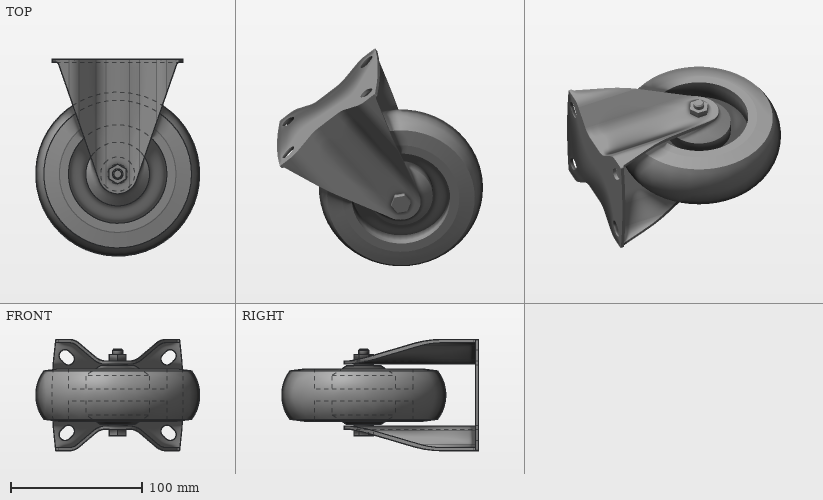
import cadquery as cq
import math


plate_back = 87.5
sheet = 2.5
plate_half_width = 50.0
plate_corner_half_width = 47.2
plate_half_height = 42.5
plate_corner_radius = 1.0

slot_width = 9.0
slot_outer_spacing = (80.0, 60.0)
slot_inner_spacing = (75.0, 55.0)

arm_inner_height = 23.5
arm_outer_height = arm_inner_height + sheet
bend_radius = 12.0
valley_half_width = 8.9
crest_start = 37.2
arm_end_radius = 15.0
arm_taper = math.radians(19.2)
arm_root_radius = 2.0

wheel_radius = 62.5
tread_edge_radius = 56.2
tread_edge_height = 18.5
rim_outer_radius = 44.4
wheel_half_width = 20.0
rim_inner_radius = 37.5
web_half_thickness = 4.5
hub_radius = 24.25
hub_shoulder_height = 15.0
hub_top_radius = 13.0
hub_half_length = 22.5

spacer_radius = 7.5
bolt_radius = 4.0
bolt_end_height = 35.0
bolt_chamfer = 1.0
hex_across_flats = 13.0
hex_height = 5.0


def bend_angle():
    """Slope of the straight flank tangent to the valley bend and the crest bend."""
    across = crest_start - valley_half_width
    rise = (plate_half_height - bend_radius) - (arm_outer_height + bend_radius)
    radii = 2 * bend_radius
    flank = math.sqrt(across**2 + rise**2 - radii**2)
    return math.atan2(radii, flank) + math.atan2(rise, across)


def fork_profile(side_x, depth):
    """XZ region between the two arms, bounded by a sheet face at the given depth.

    Depth 0 is the outer face of the sheet. The region reaches side_x on both sides at its corners.
    """
    slope = bend_angle()
    valley_radius = bend_radius + depth
    crest_radius = bend_radius - depth
    valley_centre = arm_outer_height + bend_radius
    crest_centre = plate_half_height - bend_radius

    def on_valley(angle):
        return (valley_half_width + valley_radius * math.sin(angle),
                valley_centre - valley_radius * math.cos(angle))

    def on_crest(angle):
        return (crest_start - crest_radius * math.sin(angle),
                crest_centre + crest_radius * math.cos(angle))

    def flip(point, x_sign, z_sign):
        return (x_sign * point[0], z_sign * point[1])

    corner = (side_x, plate_half_height - depth)
    side_middle = (side_x + plate_half_width - plate_corner_half_width, 0)
    outline = cq.Workplane("XZ").moveTo(*flip(corner, -1, 1))
    for s in (1, -1):
        outline = (
            outline.lineTo(*flip(on_crest(0), -s, s))
            .threePointArc(flip(on_crest(slope / 2), -s, s), flip(on_crest(slope), -s, s))
            .lineTo(*flip(on_valley(slope), -s, s))
            .threePointArc(flip(on_valley(slope / 2), -s, s), flip(on_valley(0), -s, s))
            .lineTo(*flip(on_valley(0), s, s))
            .threePointArc(flip(on_valley(slope / 2), s, s), flip(on_valley(slope), s, s))
            .lineTo(*flip(on_crest(slope), s, s))
            .threePointArc(flip(on_crest(slope / 2), s, s), flip(on_crest(0), s, s))
            .lineTo(*flip(corner, s, s))
            .threePointArc(flip(side_middle, s, s), flip(corner, s, -s))
        )
    return outline.close()


def arm_outline():
    """Solid with the fork's XY outline: plate strip, tapered arms and round arm ends."""
    plate_front = plate_back - sheet
    tangent_x = arm_end_radius * math.cos(arm_taper)
    tangent_y = -arm_end_radius * math.sin(arm_taper)
    root_x = tangent_x + (plate_front - tangent_y) * math.tan(arm_taper)
    outline = (
        cq.Workplane("XY")
        .moveTo(-plate_half_width, plate_back)
        .lineTo(-plate_half_width, plate_front)
        .lineTo(-root_x, plate_front)
        .lineTo(-tangent_x, tangent_y)
        .threePointArc((0, -arm_end_radius), (tangent_x, tangent_y))
        .lineTo(root_x, plate_front)
        .lineTo(plate_half_width, plate_front)
        .lineTo(plate_half_width, plate_back)
        .close()
        .extrude(plate_half_height, both=True)
    )
    root_edges = cq.selectors.BoxSelector(
        (-root_x - sheet / 2, plate_front - sheet / 2, -plate_half_height),
        (root_x + sheet / 2, plate_front + sheet / 2, plate_half_height),
    )
    return outline.edges("|Z").edges(root_edges).fillet(arm_root_radius)


def make_fork():
    fork_length = plate_back + arm_end_radius
    envelope = fork_profile(plate_corner_half_width, 0).extrude(fork_length)
    for side in ("<X", ">X"):
        corners = envelope.faces(side).edges("|Y")
        envelope = corners.fillet(plate_corner_radius)
    envelope = envelope.translate((0, plate_back, 0))
    inside = fork_profile(plate_half_width, sheet).extrude(fork_length)
    inside = inside.translate((0, plate_back - sheet, 0))
    return envelope.intersect(arm_outline()).cut(inside)


def make_slots():
    centre_x = (slot_outer_spacing[0] + slot_inner_spacing[0]) / 4
    centre_z = (slot_outer_spacing[1] + slot_inner_spacing[1]) / 4
    run_x = (slot_outer_spacing[0] - slot_inner_spacing[0]) / 2
    run_z = (slot_outer_spacing[1] - slot_inner_spacing[1]) / 2
    slot_length = math.hypot(run_x, run_z) + slot_width
    slot_angle = math.degrees(math.atan2(run_z, run_x))
    slots = cq.Workplane("XZ", origin=(0, plate_back, 0))
    for sign in (1, -1):
        slots = (
            slots.pushPoints([(centre_x, sign * centre_z), (-centre_x, -sign * centre_z)])
            .slot2D(slot_length, slot_width, sign * slot_angle)
            .extrude(sheet)
        )
    return slots


def make_wheel():
    """Wheel, hub and spacers: one profile, symmetric about the mid plane, revolved about Z."""
    upper_side = [
        (tread_edge_radius, tread_edge_height),
        (rim_outer_radius, wheel_half_width),
        (rim_inner_radius, wheel_half_width),
        (rim_inner_radius, web_half_thickness),
        (hub_radius, web_half_thickness),
        (hub_radius, hub_shoulder_height),
        (hub_top_radius, hub_half_length),
        (spacer_radius, hub_half_length),
        (spacer_radius, arm_inner_height),
        (0, arm_inner_height),
    ]
    lower_side = [(radius, -height) for radius, height in reversed(upper_side)]
    return (
        cq.Workplane("XZ")
        .polyline(upper_side + lower_side)
        .threePointArc((wheel_radius, 0), upper_side[0])
        .close()
        .revolve(360, (0, 0, 0), (0, 1, 0))
    )


def make_bolt():
    hex_across_corners = hex_across_flats / math.cos(math.pi / 6)
    head_bottom = -arm_outer_height - hex_height
    shank = (
        cq.Workplane("XY", origin=(0, 0, head_bottom))
        .circle(bolt_radius)
        .extrude(bolt_end_height - head_bottom)
        .faces(">Z")
        .chamfer(bolt_chamfer)
    )
    hexagon = (
        cq.Workplane("XY")
        .polygon(6, hex_across_corners)
        .extrude(hex_height)
        .rotate((0, 0, 0), (0, 0, 1), 90)
    )
    nut = hexagon.translate((0, 0, arm_outer_height))
    head = hexagon.translate((0, 0, head_bottom))
    return shank.union(nut).union(head)


fork = make_fork().cut(make_slots())
result = fork.union(make_wheel()).union(make_bolt())